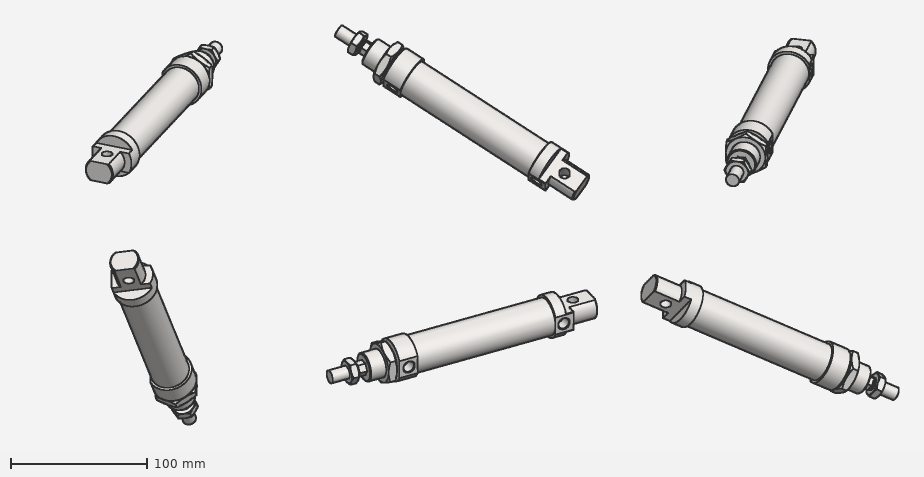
import cadquery as cq
import math


cap_radius = 16.5
tube_radius = 14.5
cap_flat_x = -14.75
collar_radius = 11.0
collar_length = 22.0
collar_chamfer = 0.75
front_cap_length = 15.0
tube_length = 114.0
rear_cap_length = 15.0
rear_disc_length = 9.0
eye_length = 22.0
eye_thickness = 16.0
pin_hole_diameter = 8.0
pin_hole_from_end = 15.0

port_diameter = 8.6
port_mouth_diameter = 9.7
port_from_front = 8.0
port_from_tube = 7.0
port_depth = 9.55

rod_hex_flats = 10.0
rod_hex_exposed = 6.0
thread_radius = 5.0
thread_length = 22.0
thread_chamfer = 0.75
neck_radius = 4.25
neck_length = 1.0
rod_inner_end = -front_cap_length

rod_nut_flats = 17.0
rod_nut_thickness = 6.0
rod_nut_gap = 2.0
collar_nut_flats = 30.0
collar_nut_thickness = 7.0
collar_nut_gap = 2.0
nut_face_ratio = 0.99
nut_chamfer_angle = 30.0

tube_front = -front_cap_length
tube_rear = tube_front - tube_length
disc_rear = tube_rear - rear_disc_length
cap_rear = tube_rear - rear_cap_length
eye_end = cap_rear - eye_length
thread_start = collar_length + rod_hex_exposed
rod_tip = thread_start + thread_length
rod_nut_back = thread_start + rod_nut_gap


def y_cylinder(radius, y_start, y_end):
    """Solid cylinder on the Y axis."""
    return cq.Workplane("XZ", origin=(0, y_start, 0)).circle(radius).extrude(y_start - y_end)


def hex_prism(across_flats, y_start, y_end, turn=0):
    """Hexagonal prism on the Y axis, corners on X unless turned about Y."""
    corner_diameter = across_flats / math.cos(math.radians(30))
    return (
        cq.Workplane("XZ", origin=(0, y_start, 0))
        .polygon(6, corner_diameter)
        .extrude(y_start - y_end)
        .rotate((0, 0, 0), (0, 1, 0), turn)
    )


def make_nut(across_flats, thickness, y_start, hole_radius, turn=0):
    """Hexagon nut with its corners chamfered on both faces."""
    y_end = y_start + thickness
    corner_radius = across_flats / 2 / math.cos(math.radians(30))
    face_radius = nut_face_ratio * across_flats / 2
    drop = (corner_radius - face_radius) * math.tan(math.radians(nut_chamfer_angle))
    envelope = (
        cq.Workplane("XY")
        .moveTo(0, y_start)
        .lineTo(-face_radius, y_start)
        .lineTo(-corner_radius, y_start + drop)
        .lineTo(-corner_radius, y_end - drop)
        .lineTo(-face_radius, y_end)
        .lineTo(0, y_end)
        .close()
        .revolve(360, (0, 0, 0), (0, 1, 0))
    )
    nut = hex_prism(across_flats, y_start, y_end, turn).intersect(envelope)
    return nut.cut(y_cylinder(hole_radius, y_start, y_end))


def make_port(y):
    """Blind port cutter entering from the port flat along +X, with a countersunk mouth."""
    countersink = (port_mouth_diameter - port_diameter) / 2
    return (
        cq.Workplane("XY")
        .moveTo(cap_flat_x, y)
        .lineTo(cap_flat_x, y + port_mouth_diameter / 2)
        .lineTo(cap_flat_x + countersink, y + port_diameter / 2)
        .lineTo(cap_flat_x + port_depth, y + port_diameter / 2)
        .lineTo(cap_flat_x + port_depth, y)
        .close()
        .revolve(360, (0, y, 0), (1, y, 0))
    )


def make_cap(y_start, y_end):
    """Cap disc with one side cut flat for the port."""
    cap = y_cylinder(cap_radius, y_start, y_end)
    side_cut = cq.Workplane("XY").box(
        cap_radius, y_end - y_start, 2 * cap_radius, centered=(False, False, True)
    )
    return cap.cut(side_cut.translate((cap_flat_x - cap_radius, y_start, 0)))


def make_eye_slab():
    """Slab that gives the eye and the back of the rear cap their flat top and bottom."""
    return cq.Workplane("XY").box(
        2 * cap_radius, disc_rear - eye_end, eye_thickness, centered=(True, False, True)
    ).translate((0, eye_end, 0))


def make_housing():
    collar = y_cylinder(collar_radius, 0, collar_length)
    collar = collar.faces(">Y").chamfer(collar_chamfer)
    tube = y_cylinder(tube_radius, tube_rear, tube_front)
    eye = y_cylinder(collar_radius, eye_end, cap_rear)
    eye = eye.faces("<Y").chamfer(collar_chamfer)
    rear_block = make_cap(cap_rear, disc_rear).union(eye).intersect(make_eye_slab())
    body = (
        make_cap(tube_front, 0)
        .union(collar)
        .union(tube)
        .union(make_cap(disc_rear, tube_rear))
        .union(rear_block)
    )
    pin_hole = (
        cq.Workplane("XY", origin=(0, eye_end + pin_hole_from_end, 0))
        .circle(pin_hole_diameter / 2)
        .extrude(eye_thickness / 2, both=True)
    )
    body = body.cut(pin_hole)
    body = body.cut(hex_prism(rod_hex_flats, rod_inner_end, collar_length))
    for port_y in (-port_from_front, tube_rear - port_from_tube):
        body = body.cut(make_port(port_y))
    return body


def make_rod():
    hexagon = hex_prism(rod_hex_flats, rod_inner_end, thread_start)
    neck = y_cylinder(neck_radius, thread_start, thread_start + neck_length)
    thread = y_cylinder(thread_radius, thread_start + neck_length, rod_tip)
    thread = thread.faces("<Y").chamfer(thread_chamfer)
    return hexagon.union(neck).union(thread)


housing = make_housing()
rod = make_rod()
rod_nut = make_nut(rod_nut_flats, rod_nut_thickness, rod_nut_back, thread_radius)
collar_nut = make_nut(collar_nut_flats, collar_nut_thickness, collar_nut_gap, collar_radius, turn=30)

result = cq.Compound.makeCompound([housing.val(), rod.val(), rod_nut.val(), collar_nut.val()])